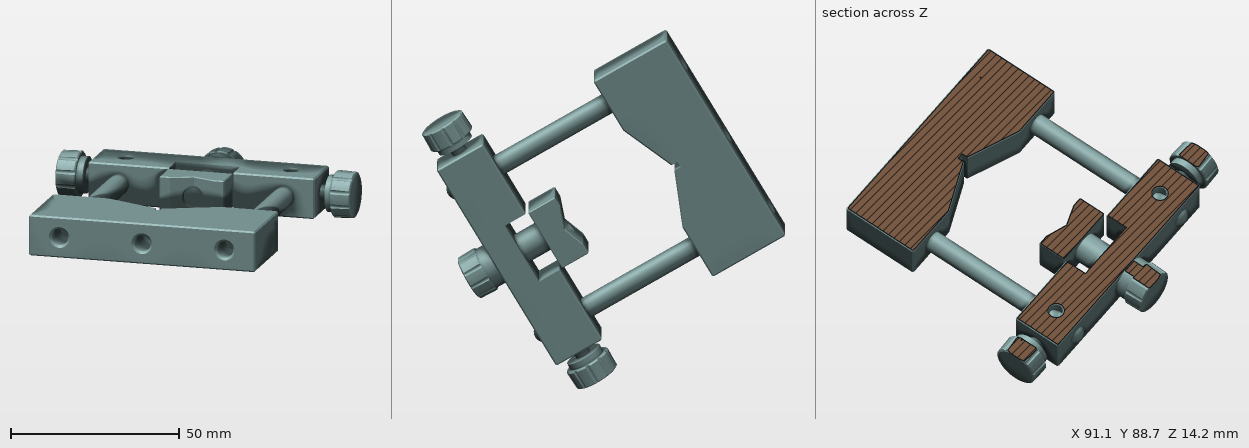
import cadquery as cq
import math


total_width = 91.1
total_length = 88.7
body_width = 70.0
body_height = 12.5
edge_chamfer = 0.5

base_length = 25.15
seat_half_width = 17.3
seat_bottom_y = 18.3
relief_width = 1.8
relief_bottom_y = 16.1

front_hole_diameter = 5.0
front_hole_rim_diameter = 6.4
front_hole_depth = 10.0
drill_tip_angle = 118.0

bar_front_y = 63.15
bar_length = 15.95
bar_rear_y = bar_front_y + bar_length
bar_center_y = bar_front_y + bar_length / 2
window_width = 20.0
window_depth = 7.1
set_screw_hole_diameter = 4.2
set_screw_rim_diameter = 5.0

rod_spacing = 51.0
rod_diameter = 6.4
rod_radius = rod_diameter / 2
rod_rear_y = 80.7
rod_positions = (-rod_spacing / 2, rod_spacing / 2)

jaw_width = 20.0
jaw_front_y = 53.1
jaw_rear_y = 62.3
jaw_seat_half_width = 6.65
jaw_seat_depth = 2.4
jaw_chamfer = 0.3
jaw_hole_diameter = 6.8
jaw_hole_bottom_y = 56.5
stud_diameter = 9.3

knob_base_radius = 7.1
knob_end_radius = 6.9
knob_length = 6.2
knob_base_chamfer = 0.4
knob_end_chamfer_height = 0.4
knob_end_chamfer_inset = 0.6
flute_count = 10
flute_width = 1.5
flute_depth = 0.5
rear_flute_angle = 10.0
rear_collar_diameter = 13.0
side_collar_diameter = 11.2
side_collar_length = 2.0
side_screw_diameter = 4.7


def plate(outline, corner_selector, chamfer):
    """Extrude an outline over the body height and chamfer its rims and chosen upright edges."""
    block = cq.Workplane("XY").polyline(outline).close().extrude(body_height / 2, both=True)
    block = block.edges(corner_selector).chamfer(chamfer)
    return block.faces("|Z").edges().chamfer(chamfer)


def rod_along_y(x, start_y, end_y, diameter):
    """Plain cylinder parallel to Y."""
    cylinder = cq.Workplane("XZ").circle(diameter / 2).extrude(start_y - end_y)
    return cylinder.translate((x, start_y, 0))


def hole_tool(diameter, rim_diameter, depth, tip_depth=0.0):
    """Hole cutter entering along +Z from Z = 0, with a countersunk rim and an optional drill tip."""
    radius = diameter / 2
    rim_radius = rim_diameter / 2
    profile = [(0, 0), (rim_radius, 0), (radius, rim_radius - radius), (radius, depth)]
    profile.append((0, depth + tip_depth))
    return cq.Workplane("XZ").polyline(profile).close().revolve(360, (0, 0, 0), (0, 1, 0))


def fluted_knob(collar_diameter, collar_length):
    """Knob on the Z axis: collar starting at Z = 0, then a slightly tapered fluted head."""
    collar_radius = collar_diameter / 2
    end_z = collar_length + knob_length
    profile = [
        (0, 0),
        (collar_radius, 0),
        (collar_radius, collar_length),
        (knob_base_radius - knob_base_chamfer, collar_length),
        (knob_base_radius, collar_length + knob_base_chamfer),
        (knob_end_radius, end_z - knob_end_chamfer_height),
        (knob_end_radius - knob_end_chamfer_inset, end_z),
        (0, end_z),
    ]
    knob = cq.Workplane("XZ").polyline(profile).close().revolve(360, (0, 0, 0), (0, 1, 0))
    flute_radius = (flute_width ** 2 / 4 + flute_depth ** 2) / (2 * flute_depth)
    flute_center = knob_base_radius - flute_depth + flute_radius
    flutes = (
        cq.Workplane("XY").workplane(offset=collar_length)
        .polarArray(flute_center, 0, 360, flute_count)
        .circle(flute_radius).extrude(knob_length)
    )
    return knob.cut(flutes)


def make_base():
    half_width = body_width / 2
    half_relief = relief_width / 2
    outline = [
        (-half_width, 0), (half_width, 0), (half_width, base_length),
        (seat_half_width, base_length), (half_relief, seat_bottom_y),
        (-half_relief, seat_bottom_y), (-seat_half_width, base_length),
        (-half_width, base_length),
    ]
    base = plate(outline, "|Z and (<X or >X)", edge_chamfer)
    relief = cq.Workplane("XY").box(
        relief_width, base_length - relief_bottom_y, body_height, centered=(True, False, True)
    )
    base = base.cut(relief.translate((0, relief_bottom_y, 0)))

    tip_depth = front_hole_diameter / 2 / math.tan(math.radians(drill_tip_angle / 2))
    rod_hole = hole_tool(front_hole_diameter, front_hole_rim_diameter, front_hole_depth)
    mount_hole = hole_tool(
        front_hole_diameter, front_hole_rim_diameter, front_hole_depth, tip_depth
    )
    base = base.cut(mount_hole.rotate((0, 0, 0), (1, 0, 0), -90))
    for x in rod_positions:
        base = base.cut(rod_hole.rotate((0, 0, 0), (1, 0, 0), -90).translate((x, 0, 0)))
    return base


def make_crossbar():
    bar = cq.Workplane("XY").box(body_width, bar_length, body_height)
    bar = bar.edges().chamfer(edge_chamfer).translate((0, bar_center_y, 0))
    window = cq.Workplane("XY").box(
        window_width, window_depth, body_height, centered=(True, False, True)
    )
    bar = bar.cut(window.translate((0, bar_front_y, 0)))
    screw_hole = hole_tool(set_screw_hole_diameter, set_screw_rim_diameter, body_height / 2)
    screw_hole = screw_hole.rotate((0, 0, 0), (1, 0, 0), 180)
    for x in rod_positions:
        bar = bar.cut(screw_hole.translate((x, bar_center_y, body_height / 2)))
    return bar


def make_rod(x):
    """Guide rod from the base block through the crossbar, ending in a hemisphere."""
    dome_center_y = rod_rear_y - rod_radius
    rod = rod_along_y(x, front_hole_depth, dome_center_y, rod_diameter)
    dome = cq.Workplane("XY").sphere(rod_radius).translate((x, dome_center_y, 0))
    return rod.union(dome)


def make_jaw():
    half_width = jaw_width / 2
    outline = [
        (-half_width, jaw_rear_y), (-half_width, jaw_front_y),
        (-jaw_seat_half_width, jaw_front_y), (0, jaw_front_y + jaw_seat_depth),
        (jaw_seat_half_width, jaw_front_y), (half_width, jaw_front_y),
        (half_width, jaw_rear_y),
    ]
    jaw = plate(outline, "|Z and (<X or >X)", jaw_chamfer)
    return jaw.cut(rod_along_y(0, jaw_front_y, jaw_hole_bottom_y, jaw_hole_diameter))


def make_rear_knob():
    collar_length = total_length - knob_length - bar_rear_y
    knob = fluted_knob(rear_collar_diameter, collar_length)
    knob = knob.rotate((0, 0, 0), (0, 0, 1), 90 - rear_flute_angle)
    return knob.rotate((0, 0, 0), (1, 0, 0), -90).translate((0, bar_rear_y, 0))


def make_side_knob():
    """Clamping knob on the +X end of the crossbar."""
    collar_x = total_width / 2 - knob_length - side_collar_length
    knob = fluted_knob(side_collar_diameter, side_collar_length)
    bar_end_x = body_width / 2
    screw = cq.Workplane("XY").circle(side_screw_diameter / 2).extrude(bar_end_x - collar_x)
    knob = knob.union(screw)
    return knob.rotate((0, 0, 0), (0, 1, 0), 90).translate((collar_x, bar_center_y, 0))


side_knob = make_side_knob()
stud = rod_along_y(0, jaw_rear_y, bar_front_y + window_depth, stud_diameter)

result = make_base().union(make_crossbar())
for rod_x in rod_positions:
    result = result.union(make_rod(rod_x))
result = result.union(stud).union(make_jaw()).union(make_rear_knob())
result = result.union(side_knob).union(side_knob.mirror("YZ"))